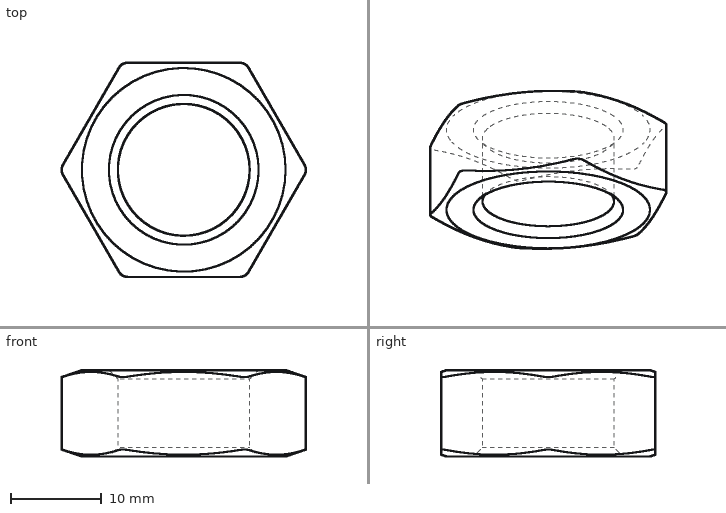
import cadquery as cq
import math

across_flats = 23.62
thickness = 9.53
corner_radius = 1.12

face_diameter = 0.95 * across_flats
face_chamfer_angle = 19.0

bore_diameter = 14.5
countersink_diameter = 16.5
countersink_depth = (countersink_diameter - bore_diameter) / 2

hexagon_sides = 6
across_corners = across_flats / math.cos(math.pi / hexagon_sides)
half_height = thickness / 2


def hexagon_body():
    """Hexagonal prism centred on Z, with corners on X and rounded vertical edges."""
    prism = cq.Workplane("XY").polygon(hexagon_sides, across_corners).extrude(half_height, both=True)
    return prism.edges("|Z").fillet(corner_radius)


def chamfer_envelope():
    """Revolved double cone; what lies outside it is trimmed from the hexagon."""
    rim_radius = across_corners / 2
    face_radius = face_diameter / 2
    drop = (rim_radius - face_radius) * math.tan(math.radians(face_chamfer_angle))
    profile = [
        (0, -half_height),
        (face_radius, -half_height),
        (rim_radius, -half_height + drop),
        (rim_radius, half_height - drop),
        (face_radius, half_height),
        (0, half_height),
    ]
    return cq.Workplane("XZ").polyline(profile).close().revolve(360, (0, 0), (0, 1))


def bore_cutter():
    """Revolved cutter for the through bore and both countersinks."""
    bore_radius = bore_diameter / 2
    mouth_radius = countersink_diameter / 2
    sink_floor = half_height - countersink_depth
    profile = [
        (0, -half_height),
        (mouth_radius, -half_height),
        (bore_radius, -sink_floor),
        (bore_radius, sink_floor),
        (mouth_radius, half_height),
        (0, half_height),
    ]
    return cq.Workplane("XZ").polyline(profile).close().revolve(360, (0, 0), (0, 1))


result = hexagon_body().intersect(chamfer_envelope()).cut(bore_cutter())